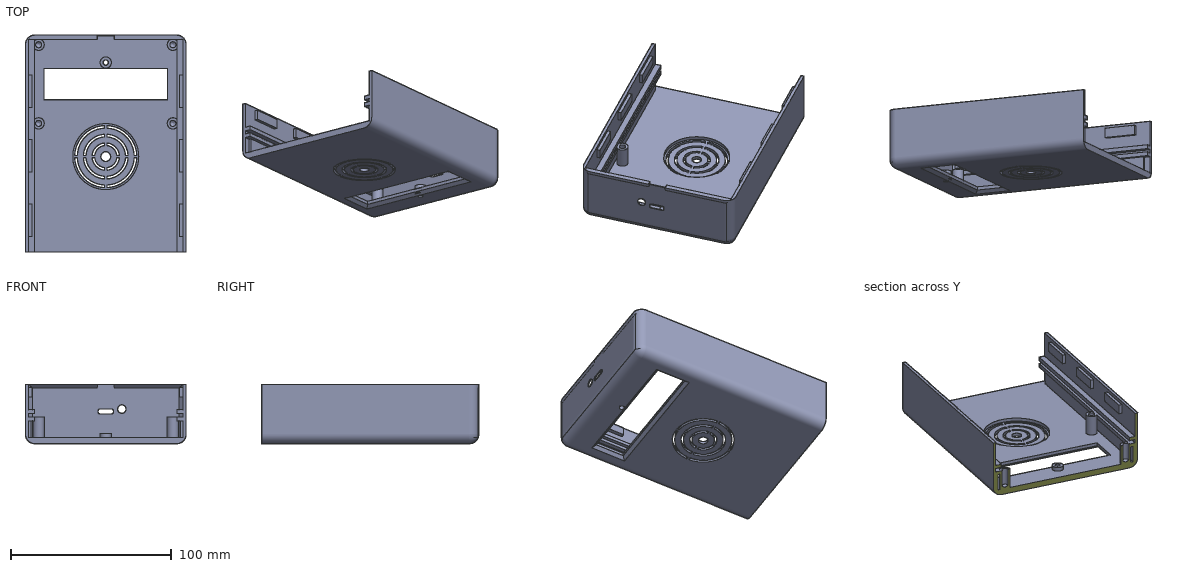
import cadquery as cq
WIDTH = 100.0
LENGTH = 135.0
HEIGHT = 37.0
OUTER_RADIUS = 6.0
SIDE_WALL = 2.0
BACK_WALL = 0.6
FLOOR = 4.0
CORNER_CHAMFER = 2.4

HALF_WIDTH = WIDTH / 2
INNER_HALF_WIDTH = HALF_WIDTH - SIDE_WALL
INNER_BACK = LENGTH - BACK_WALL

LIP_WIDTH = 3.0
LIP_HEIGHT = 2.4
LIP_FRONT = LENGTH - LIP_WIDTH
NOTCH_HALF_WIDTH = 5.5
NOTCH_WAIST_HALF_WIDTH = 5.0
NOTCH_WAIST_DEPTH = 1.0

RAIL_WIDTH = 3.8
RAIL_THICKNESS = 2.4
RAIL_GAP = 2.0
LOWER_RAIL_BOTTOM = 14.3
BOARD_LEVEL = LOWER_RAIL_BOTTOM + RAIL_THICKNESS
RIB_THICKNESS = 1.5
RIB_SETBACK = 4.0

CATCH_THICKNESS = 2.0
CATCH_LENGTH = 20.1
CATCH_HEIGHT = 6.0
CATCH_TOP_GAP = 2.0
CATCH_PITCH = 40.1
FIRST_CATCH_FRONT = 9.9
CATCH_COUNT = 3

BOSS_DIAMETER = 7.0
BOSS_HALF_SPACING = 41.7
BOSS_Y_POSITIONS = (80.0, 128.9)
SCREW_DIAMETER = 3.8
SCREW_DEPTH = 10.8
SCREW_TIP_DEPTH = 1.2
SENSOR_BOSS_Y = 117.9
SENSOR_BOSS_HEIGHT = 2.4
SENSOR_BOSS_BOTTOM = 1.1
SENSOR_HOLE_DIAMETER = 3.1

WINDOW_WIDTH = 76.5
WINDOW_FRONT = 94.8
WINDOW_LENGTH = 19.3
WINDOW_BEVEL = 2.0

GRILLE_Y = 59.4
GRILLE_RECESS_DIAMETER = 41.0
GRILLE_RECESS_DEPTH = 2.0
GRILLE_HOLE_DIAMETER = 6.0
GRILLE_SLOT_WIDTH = 1.5
GRILLE_PITCH = 5.4
FIRST_SLOT_RADIUS = 7.7
GRILLE_SLOT_COUNT = 3
GRILLE_BAR = 1.6

PORT_WIDTH = 9.5
PORT_HEIGHT = 3.0
PORT_RADIUS = 1.2
PORT_Z = 20.1
JACK_DIAMETER = 5.1
JACK_X = 10.0
JACK_Z = 21.6


def box(x_min, x_max, y_min, y_max, z_min, z_max):
    size = (x_max - x_min, y_max - y_min, z_max - z_min)
    return cq.Workplane("XY").box(*size, centered=False).translate((x_min, y_min, z_min))


def cylinder(diameter, x, y, z_min, z_max):
    return cq.Workplane("XY", origin=(x, y, z_min)).circle(diameter / 2).extrude(z_max - z_min)


def both_sides(solid):
    return solid.union(solid.mirror("YZ"))


def make_envelope():
    body = box(-HALF_WIDTH, HALF_WIDTH, 0, LENGTH, 0, HEIGHT)
    body = body.edges("|Z and >Y").fillet(OUTER_RADIUS)
    return body.faces("<Z").edges("not <Y").fillet(OUTER_RADIUS)


def make_shell():
    cavity = box(-INNER_HALF_WIDTH, INNER_HALF_WIDTH, 0, INNER_BACK, FLOOR, HEIGHT)
    cavity = cavity.edges("|Z and >Y").chamfer(CORNER_CHAMFER)
    return make_envelope().cut(cavity)


def make_lip():
    lip = (
        cq.Workplane("YZ", origin=(-INNER_HALF_WIDTH, 0, 0))
        .moveTo(LIP_FRONT, HEIGHT)
        .lineTo(INNER_BACK, HEIGHT)
        .lineTo(INNER_BACK, HEIGHT - LIP_HEIGHT)
        .close()
        .extrude(2 * INNER_HALF_WIDTH)
    )
    notch_right_side = [
        (NOTCH_HALF_WIDTH, HEIGHT),
        (NOTCH_WAIST_HALF_WIDTH, HEIGHT - NOTCH_WAIST_DEPTH),
        (NOTCH_HALF_WIDTH, HEIGHT - LIP_HEIGHT),
    ]
    notch_left_side = [(-x, z) for x, z in reversed(notch_right_side)]
    notch = (
        cq.Workplane("XZ", origin=(0, INNER_BACK, 0))
        .polyline(notch_right_side + notch_left_side)
        .close()
        .extrude(LIP_WIDTH)
    )
    return lip.cut(notch).intersect(make_envelope())


def make_rails():
    rail_inner = INNER_HALF_WIDTH - RAIL_WIDTH
    rails = box(
        INNER_HALF_WIDTH - RIB_THICKNESS, INNER_HALF_WIDTH,
        RIB_SETBACK, LIP_FRONT,
        FLOOR, LOWER_RAIL_BOTTOM,
    )
    for bottom in (LOWER_RAIL_BOTTOM, BOARD_LEVEL + RAIL_GAP):
        rail = box(rail_inner, INNER_HALF_WIDTH, 0, LIP_FRONT, bottom, bottom + RAIL_THICKNESS)
        rails = rails.union(rail)
    return both_sides(rails)


def make_catches():
    top = HEIGHT - CATCH_TOP_GAP
    catches = cq.Workplane("XY")
    for index in range(CATCH_COUNT):
        front = FIRST_CATCH_FRONT + index * CATCH_PITCH
        catch = box(
            INNER_HALF_WIDTH - CATCH_THICKNESS, INNER_HALF_WIDTH,
            front, front + CATCH_LENGTH,
            top - CATCH_HEIGHT, top,
        )
        catches = catches.add(both_sides(catch))
    return catches.combine()


def make_screw_boss(x, y):
    boss = cylinder(BOSS_DIAMETER, x, y, FLOOR, BOARD_LEVEL)
    radius = SCREW_DIAMETER / 2
    hole_bottom = BOARD_LEVEL - SCREW_DEPTH
    hole = (
        cq.Workplane("XZ")
        .moveTo(0, hole_bottom - SCREW_TIP_DEPTH)
        .lineTo(radius, hole_bottom)
        .lineTo(radius, BOARD_LEVEL)
        .lineTo(0, BOARD_LEVEL)
        .close()
        .revolve(360, (0, 0, 0), (0, 1, 0))
        .translate((x, y, 0))
    )
    return boss.cut(hole)


def make_window():
    """Rectangular opening that flares outwards through the lower part of the floor."""
    half = WINDOW_WIDTH / 2
    opening = box(-half, half, WINDOW_FRONT, WINDOW_FRONT + WINDOW_LENGTH, 0, FLOOR)
    flare = (
        cq.Workplane("XY", origin=(0, WINDOW_FRONT + WINDOW_LENGTH / 2, 0))
        .rect(WINDOW_WIDTH + 2 * WINDOW_BEVEL, WINDOW_LENGTH + 2 * WINDOW_BEVEL)
        .workplane(offset=WINDOW_BEVEL)
        .rect(WINDOW_WIDTH, WINDOW_LENGTH)
        .loft()
    )
    return opening.union(flare)


def make_grille():
    """Recess, centre hole and concentric slots interrupted by two crossing bars."""
    reach = GRILLE_RECESS_DIAMETER / 2
    half_bar = GRILLE_BAR / 2
    slots = cq.Workplane("XY")
    for index in range(GRILLE_SLOT_COUNT):
        radius = FIRST_SLOT_RADIUS + index * GRILLE_PITCH
        ring = (
            cq.Workplane("XY", origin=(0, GRILLE_Y, 0))
            .circle(radius + GRILLE_SLOT_WIDTH / 2)
            .circle(radius - GRILLE_SLOT_WIDTH / 2)
            .extrude(FLOOR)
        )
        slots = slots.add(ring)
    cross_bar = box(-reach, reach, GRILLE_Y - half_bar, GRILLE_Y + half_bar, 0, FLOOR)
    long_bar = box(-half_bar, half_bar, GRILLE_Y - reach, GRILLE_Y + reach, 0, FLOOR)
    slots = slots.combine().cut(cross_bar).cut(long_bar)
    recess = cylinder(GRILLE_RECESS_DIAMETER, 0, GRILLE_Y, FLOOR - GRILLE_RECESS_DEPTH, FLOOR)
    centre_hole = cylinder(GRILLE_HOLE_DIAMETER, 0, GRILLE_Y, 0, FLOOR)
    return slots.union(recess).union(centre_hole)


def make_back_openings():
    back = cq.Workplane("XZ", origin=(0, LENGTH, 0))
    port = back.center(0, PORT_Z).rect(PORT_WIDTH, PORT_HEIGHT).extrude(BACK_WALL)
    port = port.edges("|Y").fillet(PORT_RADIUS)
    jack = back.center(JACK_X, JACK_Z).circle(JACK_DIAMETER / 2).extrude(BACK_WALL)
    return port.union(jack)


result = make_shell().union(make_lip()).union(make_rails()).union(make_catches())

for boss_y in BOSS_Y_POSITIONS:
    for boss_x in (-BOSS_HALF_SPACING, BOSS_HALF_SPACING):
        result = result.union(make_screw_boss(boss_x, boss_y))

result = result.cut(make_window()).cut(make_grille()).cut(make_back_openings())

sensor_boss_top = FLOOR + SENSOR_BOSS_HEIGHT
result = result.union(cylinder(BOSS_DIAMETER, 0, SENSOR_BOSS_Y, SENSOR_BOSS_BOTTOM, sensor_boss_top))
result = result.cut(cylinder(SENSOR_HOLE_DIAMETER, 0, SENSOR_BOSS_Y, 0, sensor_boss_top))